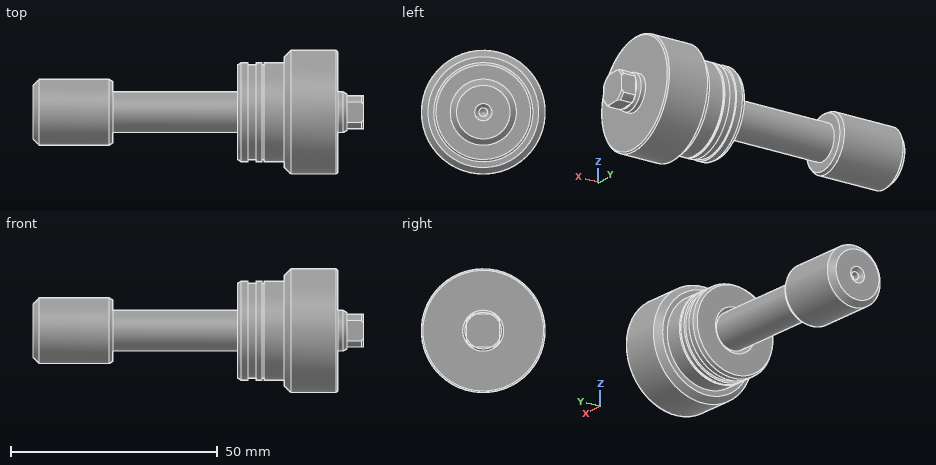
import cadquery as cq
import math

break_slope = math.tan(math.radians(30))
edge_break = 1.0
edge_break_drop = edge_break * break_slope

total_length = 80.0
head_radius = 8.0
head_length = 19.4
head_chamfer = 1.5
shank_radius = 5.0
drive_length = 4.0
shank_end = total_length - drive_length
drive_width = 8.0
drive_corner_radius = 4.7
drive_break = 0.6

centre_mouth_radius = 2.1
centre_pilot_radius = 1.0
centre_pilot_length = 2.0
countersink_half_angle = math.radians(45)
drill_tip_half_angle = math.radians(59)

collar_start = 49.4
collar_length = 24.3
collar_end = collar_start + collar_length
sleeve_radius = 12.0
sleeve_length = 11.4
flange_start = collar_start + sleeve_length
flange_radius = 15.0
flange_front_chamfer = 1.6
flange_rear_chamfer = 0.4
bore_chamfer = 1.0
groove_depth = 0.5
wide_groove_offset = 2.6
wide_groove_width = 1.9
narrow_groove_offset = 6.0
narrow_groove_width = 0.5


def revolve_about_x(points):
    """Turn a closed (x, radius) outline into a solid about the X axis."""
    return cq.Workplane("XY").polyline(points).close().revolve(360, (0, 0, 0), (1, 0, 0))


def ring(start, width, inner_radius, outer_radius):
    """Annular ring of rectangular section."""
    end = start + width
    return revolve_about_x([
        (start, inner_radius),
        (start, outer_radius),
        (end, outer_radius),
        (end, inner_radius),
    ])


def make_centre_hole():
    """Conical mouth, cylindrical pilot and pointed drill tip."""
    mouth_depth = (centre_mouth_radius - centre_pilot_radius) / math.tan(countersink_half_angle)
    pilot_end = mouth_depth + centre_pilot_length
    tip_end = pilot_end + centre_pilot_radius / math.tan(drill_tip_half_angle)
    return revolve_about_x([
        (0, 0),
        (0, centre_mouth_radius),
        (mouth_depth, centre_pilot_radius),
        (pilot_end, centre_pilot_radius),
        (tip_end, 0),
    ])


def make_square_drive():
    """Square drive whose corners and end break are turned on the spindle axis."""
    square = cq.Workplane("YZ", origin=(shank_end, 0, 0)).rect(drive_width, drive_width).extrude(drive_length)
    turned_envelope = revolve_about_x([
        (shank_end, 0),
        (shank_end, drive_corner_radius),
        (total_length - drive_break, drive_corner_radius),
        (total_length, drive_corner_radius - drive_break * break_slope),
        (total_length, 0),
    ])
    return square.intersect(turned_envelope)


def make_spindle():
    turned_body = revolve_about_x([
        (0, 0),
        (0, head_radius - head_chamfer),
        (head_chamfer, head_radius),
        (head_length - edge_break, head_radius),
        (head_length, head_radius - edge_break_drop),
        (head_length, shank_radius),
        (shank_end - edge_break, shank_radius),
        (shank_end, shank_radius - edge_break_drop),
        (shank_end, 0),
    ])
    return turned_body.union(make_square_drive()).cut(make_centre_hole())


def make_collar():
    collar = revolve_about_x([
        (collar_start, shank_radius + bore_chamfer),
        (collar_start, sleeve_radius - edge_break_drop),
        (collar_start + edge_break, sleeve_radius),
        (flange_start, sleeve_radius),
        (flange_start, flange_radius - flange_front_chamfer),
        (flange_start + flange_front_chamfer, flange_radius),
        (collar_end - flange_rear_chamfer, flange_radius),
        (collar_end, flange_radius - flange_rear_chamfer),
        (collar_end, shank_radius),
        (collar_start + bore_chamfer, shank_radius),
    ])
    grooves = [
        (wide_groove_offset, wide_groove_width),
        (narrow_groove_offset, narrow_groove_width),
    ]
    for offset, width in grooves:
        collar = collar.cut(ring(collar_start + offset, width, sleeve_radius - groove_depth, flange_radius))
    return collar


spindle = make_spindle()
collar = make_collar()
result = cq.Compound.makeCompound([spindle.val(), collar.val()])